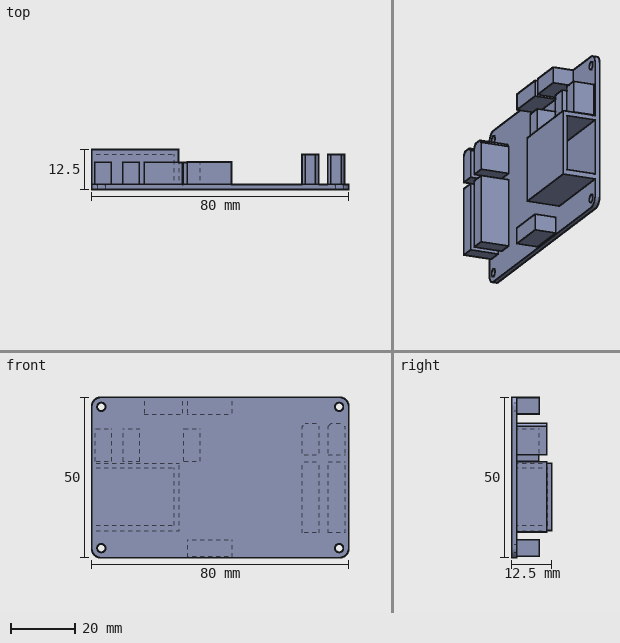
import cadquery as cq

board_length = 80.0
board_height = 50.0
board_thickness = 1.6
corner_radius = 3.0
hole_diameter = 2.6
hole_inset = 3.0

shell_length = 27.0
shell_bottom = 8.5
shell_height = 21.0
shell_wall = 1.4
shell_floor = 1.7
total_depth = 12.5

socket_depth = 8.5
edge_block_depth = 8.6
header_depth = 11.0

socket_width = 5.1
socket_height = 10.1
socket_bottom = 30.0
socket_starts = (1.0, 9.7, 28.5)

edge_block_height = 5.2
top_block_start = 16.4
top_block_length = 11.8
paired_block_start = 29.8
paired_block_length = 13.8
top_block_setback = 0.1
bottom_block_base = 0.5

header_width = 5.3
header_starts = (65.4, 73.4)
upper_header_bottom = 32.0
upper_header_height = 9.9
header_chamfer = 1.0
lower_header_height = 21.9
lower_header_bottom = shell_bottom + (shell_height - lower_header_height) / 2


def box_at(x, y, z, length, depth, height):
    """Box whose minimum corner is at (x, y, z)."""
    return cq.Workplane("XY").box(length, depth, height, centered=False).translate((x, y, z))


def component(x, z, length, height, top):
    """Block rooted in the board and reaching the depth given by top."""
    root = board_thickness / 2
    return box_at(x, root, z, length, top - root, height)


result = (
    box_at(0, 0, 0, board_length, board_thickness, board_height)
    .edges("|Y")
    .fillet(corner_radius)
)

for x in (hole_inset, board_length - hole_inset):
    for z in (hole_inset, board_height - hole_inset):
        hole = (
            cq.Workplane("XZ", origin=(x, 0, z))
            .circle(hole_diameter / 2)
            .extrude(-board_thickness)
        )
        result = result.cut(hole)

shell = component(0, shell_bottom, shell_length, shell_height, total_depth)
cavity = box_at(
    0,
    board_thickness,
    shell_bottom + shell_floor,
    shell_length - shell_wall,
    total_depth - shell_wall - board_thickness,
    shell_height - shell_floor - shell_wall,
)
result = result.union(shell).cut(cavity)

for x in socket_starts:
    result = result.union(component(x, socket_bottom, socket_width, socket_height, socket_depth))

top_block_base = board_height - top_block_setback - edge_block_height
result = result.union(
    component(top_block_start, top_block_base, top_block_length, edge_block_height, socket_depth)
)
for z in (top_block_base, bottom_block_base):
    result = result.union(
        component(paired_block_start, z, paired_block_length, edge_block_height, edge_block_depth)
    )

for x in header_starts:
    upper = (
        component(x, upper_header_bottom, header_width, upper_header_height, header_depth)
        .faces(">Z")
        .edges("|Y")
        .chamfer(header_chamfer)
    )
    lower = component(x, lower_header_bottom, header_width, lower_header_height, header_depth)
    result = result.union(upper).union(lower)